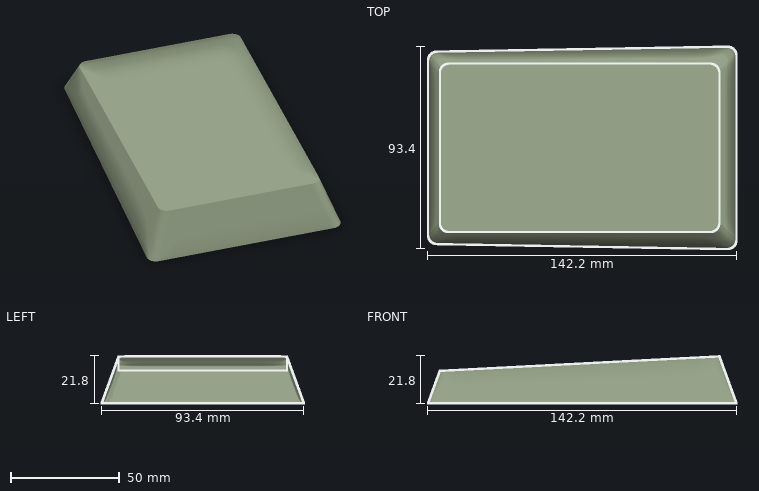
import cadquery as cq
import math

length = 142.2
top_width = 77.7
low_height = 15.1
high_height = 21.8
draft_angle = 20.0
corner_radius = 4.7

spread_per_height = math.tan(math.radians(draft_angle))
low_spread = low_height * spread_per_height
high_spread = high_height * spread_per_height


def corner_ring(x_low, x_high, half_low, half_high, z_low, z_high):
    """Closed four-sided wire, symmetric about the XZ plane."""
    corners = [
        cq.Vector(x_low, -half_low, z_low),
        cq.Vector(x_high, -half_high, z_high),
        cq.Vector(x_high, half_high, z_high),
        cq.Vector(x_low, half_low, z_low),
    ]
    return cq.Wire.makePolygon(corners, close=True)


half_length = length / 2
half_top = top_width / 2
base = corner_ring(
    -half_length, half_length, half_top + low_spread, half_top + high_spread, 0, 0
)

top = corner_ring(
    -half_length + low_spread, half_length - high_spread,
    half_top, half_top, low_height, high_height,
)

body = cq.Workplane(cq.Solid.makeLoft([base, top], ruled=True))

result = body.edges("not(#Z or #Y)").fillet(corner_radius).solids()